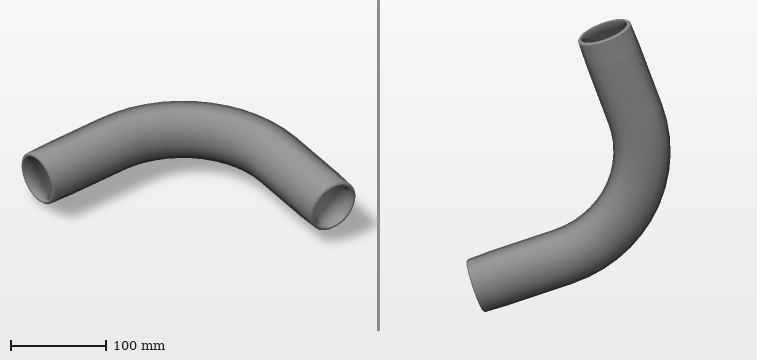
import cadquery as cq

overall_length = 253.2
pipe_diameter = 60.2
bore_diameter = 51.1
leg_length = 98.0
taper_length = 27.0
taper_ratio = 1 / 16
outer_chamfer = 1.5
bore_chamfer = 0.5

pipe_radius = pipe_diameter / 2
bore_radius = bore_diameter / 2
bend_radius = overall_length - leg_length - pipe_radius
cone_length = taper_length - outer_chamfer
cone_end_radius = pipe_radius - cone_length * taper_ratio / 2
rim_outer_radius = cone_end_radius - outer_chamfer
rim_inner_radius = bore_radius + bore_chamfer
taper_start = leg_length - taper_length


def make_leg():
    """Hollow leg along -Y with a tapered, chamfered open end; the bend meets it at the origin."""
    half_section = [
        (0, bore_radius),
        (0, pipe_radius),
        (-taper_start, pipe_radius),
        (outer_chamfer - leg_length, cone_end_radius),
        (-leg_length, rim_outer_radius),
        (-leg_length, rim_inner_radius),
        (bore_chamfer - leg_length, bore_radius),
    ]
    return cq.Workplane("YZ").polyline(half_section).close().revolve(360, (0, 0, 0), (1, 0, 0))


def make_bend():
    """Hollow quarter bend from the origin, turning from +Y towards +X."""
    ring = cq.Workplane("XZ").circle(pipe_radius).circle(bore_radius)
    return ring.revolve(90, (bend_radius, 0, 0), (bend_radius, -1, 0))


leg_y = make_leg()
leg_x = make_leg().rotate((0, 0, 0), (0, 0, 1), 90).translate((bend_radius, bend_radius, 0))

result = make_bend().union(leg_y).union(leg_x)